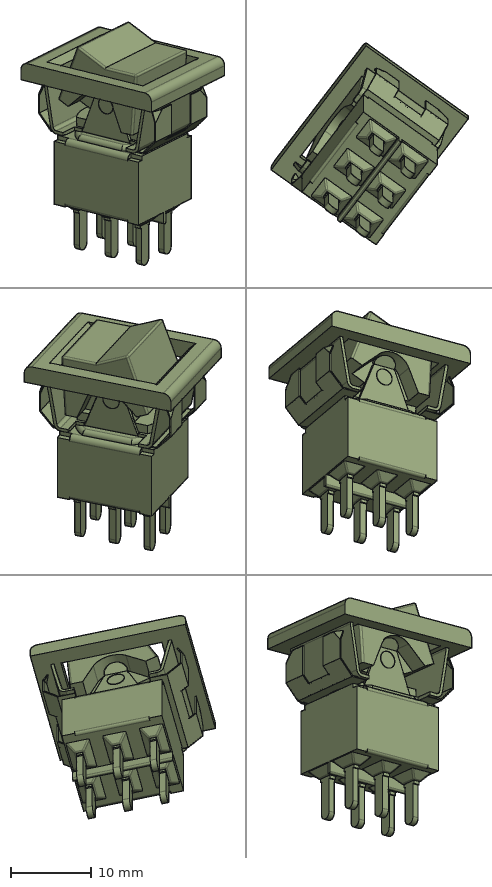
import cadquery as cq
import math


BEZEL_X = 19.85
BEZEL_Y = 15.8
BEZEL_BOTTOM = 23.03
BEZEL_THICK = 2.35
BEZEL_ROUND = 1.0
WINDOW_X = 14.6
WINDOW_BEVEL = 0.85
WINDOW_Y = 12.0

BRACKET_THICK = 0.42
BRACKET_Y = 12.2
BRACKET_BOTTOM = 16.15
BRACKET_BASE_HALF = 6.55
BRACKET_KINK_Z = 22.78
BRACKET_BEND = 0.9
FLOOR_CUT_HALF = 4.75
EAR_OUTER_Y = 3.63
EAR_THICK = 0.48
EAR_BASE_HALF = 3.65
EAR_TOP_HALF = 1.46
EAR_FOOT_ROUND = 0.1
EAR_TOP = 21.95
LIP_DIAMETER = 3.2
LIP_LENGTH = 1.46
LIP_LEAN = 38

PIVOT_Z = 20.47
PIVOT_DIAMETER = 2.2
PIVOT_PROUD = 0.05

CLIP_THICK = 0.17
CLIP_BOTTOM = 16.1
CLIP_Y = 11.1
CLIP_BASE_HALF = 7.0
CLIP_WING_HALF = 8.9
CLIP_KNEE_Z = 18.1
CLIP_TOP = 22.05
CLIP_NOTCH_Y = 4.17
CLIP_NOTCH_BOTTOM = 17.2
CLIP_FOLD = 1.45
CLIP_FOLD_ANGLE = 32

ROCKER_TILT = 12.1
ROCKER_VALLEY = 5.97
ROCKER_TOP_HALF = 4.6
ROCKER_FOOT_HALF = 5.77
ROCKER_FOOT_Z = -0.99
ROCKER_Y_TOP = 11.05
ROCKER_Y_FOOT = 11.35
ROCKER_ROUND = 0.25
RECESS_DIAMETER = 5.2
RECESS_HALF_ANGLE = 35
STEM_HALF = 2.25
STEM_DEPTH = 3.38

HOUSING_X = 12.78
HOUSING_Y = 11.43
HOUSING_BOTTOM = 6.6
HOUSING_TOP = 15.52
COVER_HALF = 4.75
COVER_TOP_ROUND = 0.73
COVER_FOOT_ROUND = 0.37
STEP_Y = 0.75
STEP_Z = 0.55
NECK_DIAMETER = 11.88
NECK_Y = 9.85
NECK_ROUND = 0.62
BLOCK_DIAMETER = 11.5
BLOCK_Y = 6.42
BLOCK_TOP = 17.75

TERMINAL_PITCH_X = 4.7
TERMINAL_Y = 2.42
TERMINAL_OUTER_THICK = 0.82
TERMINAL_MIDDLE_THICK = 0.9
TERMINAL_WIDTH = 1.6
SHOULDER_WIDTH = 1.97
SHOULDER_BOTTOM = 5.13
SEAL_LENGTH = 4.22
SEAL_WIDTH = 2.98
SEAL_HEIGHT = 1.05
SEAL_TAPER = 42
SEAL_ROUND = 0.25
DIVIDER_THICK = 0.48
DIVIDER_BOTTOM = 5.0
DIVIDER_ROUND = DIVIDER_THICK * 0.49

BEZEL_TOP = BEZEL_BOTTOM + BEZEL_THICK
EAR_INNER_Y = EAR_OUTER_Y - EAR_THICK


def block(size_x, size_y, z_low, z_high, x=0, y=0):
    """Upright box between two heights."""
    return cq.Workplane("XY").box(size_x, size_y, z_high - z_low).translate((x, y, (z_low + z_high) / 2))


def xz_prism(points, size_y):
    """Outline in X and Z, extruded evenly about Y = 0."""
    return cq.Workplane("XZ").polyline(points).close().extrude(size_y / 2, both=True)


def both_y(shape):
    """The shape together with its mirror image across Y = 0."""
    return shape.union(shape.mirror("XZ"))


def symmetric(right_side):
    """Closed outline from the points of its +X side, listed from the bottom up."""
    return right_side + [(-x, z) for x, z in reversed(right_side)]


def make_bezel():
    frame = block(BEZEL_X, BEZEL_Y, BEZEL_BOTTOM, BEZEL_TOP)
    frame = frame.faces(">Z").edges("|Y").fillet(BEZEL_ROUND)
    throat_half = WINDOW_X / 2 - WINDOW_BEVEL
    window = symmetric([
        (throat_half, BEZEL_BOTTOM),
        (throat_half, BEZEL_TOP - WINDOW_BEVEL),
        (WINDOW_X / 2, BEZEL_TOP),
    ])
    return frame.cut(xz_prism(window, WINDOW_Y))


def make_ear():
    """Ear on the -Y side, its bent-out lip and the pivot pin."""
    outline = symmetric([(EAR_BASE_HALF, BRACKET_BOTTOM), (EAR_TOP_HALF, EAR_TOP)])
    plate = xz_prism(outline, EAR_THICK).translate((0, -(EAR_OUTER_Y + EAR_INNER_Y) / 2, 0))
    plate = plate.faces("<Y").edges("<Z").fillet(EAR_FOOT_ROUND)
    lip_radius = LIP_DIAMETER / 2
    lip_side = LIP_LENGTH - lip_radius + math.sqrt(lip_radius**2 - EAR_TOP_HALF**2)
    lip = (
        cq.Workplane("XZ")
        .moveTo(-EAR_TOP_HALF, 0)
        .lineTo(-EAR_TOP_HALF, lip_side)
        .threePointArc((0, LIP_LENGTH), (EAR_TOP_HALF, lip_side))
        .lineTo(EAR_TOP_HALF, 0)
        .close()
        .extrude(-EAR_THICK)
        .rotate((0, 0, 0), (1, 0, 0), LIP_LEAN)
        .translate((0, -EAR_OUTER_Y, EAR_TOP))
    )
    pin = (
        cq.Workplane("XZ")
        .center(0, PIVOT_Z)
        .circle(PIVOT_DIAMETER / 2)
        .extrude(EAR_OUTER_Y + PIVOT_PROUD)
    )
    return plate.union(lip).union(pin)


def make_bracket():
    wall_half = WINDOW_X / 2 + BRACKET_THICK
    outer = xz_prism(
        symmetric([
            (BRACKET_BASE_HALF, BRACKET_BOTTOM),
            (wall_half, BRACKET_KINK_Z),
            (wall_half, BEZEL_BOTTOM),
        ]),
        BRACKET_Y,
    )
    lean = math.atan2(wall_half - BRACKET_BASE_HALF, BRACKET_KINK_Z - BRACKET_BOTTOM)
    inner_base_half = BRACKET_BASE_HALF - BRACKET_THICK * (1 - math.sin(lean)) / math.cos(lean)
    inner = xz_prism(
        symmetric([
            (inner_base_half, BRACKET_BOTTOM + BRACKET_THICK),
            (WINDOW_X / 2, BRACKET_KINK_Z),
            (WINDOW_X / 2, BEZEL_BOTTOM),
        ]),
        BRACKET_Y,
    )
    outer = outer.faces("<Z").edges("|Y").fillet(BRACKET_BEND)
    inner = inner.faces("<Z").edges("|Y").fillet(BRACKET_BEND - BRACKET_THICK)
    return outer.cut(inner).cut(floor_cuts()).union(both_y(make_ear()))


def floor_cuts():
    """Openings in the bracket and clip floors: wide outside the ears, narrower where each ear stands."""
    edge_y = BRACKET_Y / 2
    floor_top = BRACKET_BOTTOM + BRACKET_THICK
    cuts = []
    for half, start_y in ((FLOOR_CUT_HALF, EAR_OUTER_Y), (EAR_BASE_HALF, EAR_INNER_Y)):
        middle_y = -(start_y + edge_y) / 2
        cuts.append(block(2 * half, edge_y - start_y, CLIP_BOTTOM, floor_top, y=middle_y))
    return both_y(cuts[0].union(cuts[1]))


def folded_corner():
    """Triangular tip of the +X wing at -Y, and the same tip bent inward along its diagonal."""
    edge_y = -CLIP_Y / 2
    flat = (
        cq.Workplane("YZ")
        .workplane(offset=CLIP_WING_HALF - CLIP_THICK)
        .polyline([
            (edge_y, CLIP_TOP),
            (edge_y + CLIP_FOLD, CLIP_TOP),
            (edge_y, CLIP_TOP - CLIP_FOLD),
        ])
        .close()
        .extrude(CLIP_THICK)
    )
    bent = flat.rotate(
        (CLIP_WING_HALF, edge_y, CLIP_TOP - CLIP_FOLD),
        (CLIP_WING_HALF, edge_y + CLIP_FOLD, CLIP_TOP),
        -CLIP_FOLD_ANGLE,
    )
    return flat, bent


def make_clip():
    open_top = CLIP_TOP + 2 * CLIP_THICK
    outline = symmetric([
        (CLIP_BASE_HALF, CLIP_BOTTOM),
        (CLIP_WING_HALF, CLIP_KNEE_Z),
        (CLIP_WING_HALF, open_top),
    ])
    inside = (
        cq.Workplane("XZ")
        .polyline(outline)
        .close()
        .offset2D(-CLIP_THICK, "intersection")
        .extrude(CLIP_Y / 2, both=True)
    )
    clip = xz_prism(outline, CLIP_Y).cut(inside)
    clip = clip.cut(block(2 * CLIP_WING_HALF, CLIP_Y, CLIP_TOP, open_top))
    clip = clip.cut(block(2 * CLIP_WING_HALF, CLIP_NOTCH_Y, CLIP_NOTCH_BOTTOM, CLIP_TOP))
    clip = clip.cut(floor_cuts())
    flat, bent = folded_corner()
    for side in (flat, flat.mirror("YZ")):
        clip = clip.cut(both_y(side))
    for side in (bent, bent.mirror("YZ")):
        clip = clip.union(both_y(side))
    return clip


def rocker_recess():
    """Keyhole-shaped relief around the pivot: a round hub with two tangent sides opening downward."""
    radius = RECESS_DIAMETER / 2
    half_angle = math.radians(RECESS_HALF_ANGLE)
    tangent_x = radius * math.cos(half_angle)
    tangent_z = radius * math.sin(half_angle)
    drop = ROCKER_FOOT_HALF
    flare_x = tangent_x + (drop + tangent_z) * math.tan(half_angle)
    depth = ROCKER_Y_FOOT / 2 - EAR_INNER_Y
    outline = (
        cq.Workplane("XZ", origin=(0, -EAR_INNER_Y, 0))
        .moveTo(-tangent_x, tangent_z)
        .threePointArc((0, radius), (tangent_x, tangent_z))
        .lineTo(flare_x, -drop)
        .lineTo(-flare_x, -drop)
        .close()
    )
    return both_y(outline.extrude(depth))


def make_rocker():
    slope = math.tan(math.radians(ROCKER_TILT))
    ridge = ROCKER_VALLEY + ROCKER_TOP_HALF * slope
    keel = ROCKER_FOOT_Z - ROCKER_FOOT_HALF * slope
    body = xz_prism(
        [
            (0, keel),
            (ROCKER_FOOT_HALF, ROCKER_FOOT_Z),
            (ROCKER_TOP_HALF, ridge),
            (0, ROCKER_VALLEY),
            (-ROCKER_TOP_HALF, ridge),
            (-ROCKER_FOOT_HALF, ROCKER_FOOT_Z),
        ],
        ROCKER_Y_FOOT,
    )
    drafted_sides = (
        cq.Workplane("YZ")
        .polyline([
            (-ROCKER_Y_FOOT / 2, keel),
            (ROCKER_Y_FOOT / 2, keel),
            (ROCKER_Y_TOP / 2, ridge),
            (-ROCKER_Y_TOP / 2, ridge),
        ])
        .close()
        .extrude(ROCKER_FOOT_HALF, both=True)
    )
    body = body.intersect(drafted_sides)
    top_and_corners = cq.selectors.BoxSelector(
        (-ROCKER_FOOT_HALF, -ROCKER_Y_FOOT, 0),
        (ROCKER_FOOT_HALF, ROCKER_Y_FOOT, 2 * ridge),
    )
    valley = cq.selectors.BoxSelector((-0.28, -0.28, 0), (0.28, 0.28, 2 * ridge))
    body = body.edges(top_and_corners - valley).fillet(ROCKER_ROUND)
    stem = block(2 * STEM_HALF, 2 * EAR_INNER_Y, -STEM_DEPTH, 0)
    rocker = body.cut(rocker_recess()).union(stem)
    return rocker.rotate((0, 0, 0), (0, 1, 0), ROCKER_TILT).translate((0, 0, PIVOT_Z))


def flatted_disc(diameter, size_y, z_low, z_high):
    """Disc with flats on its -Y and +Y sides."""
    disc = cq.Workplane("XY", origin=(0, 0, z_low)).circle(diameter / 2).extrude(z_high - z_low)
    return disc.intersect(block(diameter, size_y, z_low, z_high))


def make_housing():
    housing = block(2 * COVER_HALF, HOUSING_Y, HOUSING_BOTTOM, HOUSING_TOP)
    housing = housing.faces(">Z").edges("|X").fillet(COVER_TOP_ROUND)
    housing = housing.faces("<Z").edges("|X").fillet(COVER_FOOT_ROUND)
    end_length = HOUSING_X / 2 - COVER_HALF
    end_x = COVER_HALF + end_length / 2
    step_y = (HOUSING_Y - STEP_Y) / 2
    for x in (-end_x, end_x):
        end = block(end_length, HOUSING_Y, HOUSING_BOTTOM, HOUSING_TOP, x=x)
        for y in (-step_y, step_y):
            end = end.cut(block(end_length, STEP_Y, HOUSING_TOP - STEP_Z, HOUSING_TOP, x=x, y=y))
        housing = housing.union(end)
    neck = flatted_disc(NECK_DIAMETER, NECK_Y, HOUSING_TOP, BRACKET_BOTTOM)
    neck = neck.faces(">Z").edges().fillet(NECK_ROUND)
    upper = flatted_disc(BLOCK_DIAMETER, BLOCK_Y, BRACKET_BOTTOM, BLOCK_TOP)
    divider = block(HOUSING_X, DIVIDER_THICK, DIVIDER_BOTTOM, HOUSING_TOP)
    divider = divider.faces("<Z").edges("|X").fillet(DIVIDER_ROUND)
    return housing.union(neck).union(upper).union(divider)


def make_terminal(thick):
    """One terminal at X = Y = 0: tapered seal, shoulder and round-ended blade."""
    seal = (
        cq.Workplane("XY", origin=(0, 0, HOUSING_BOTTOM))
        .rect(SEAL_WIDTH, SEAL_LENGTH)
        .extrude(-SEAL_HEIGHT, taper=SEAL_TAPER)
        .edges("not >Z")
        .fillet(SEAL_ROUND)
    )
    shoulder = block(thick, SHOULDER_WIDTH, SHOULDER_BOTTOM, HOUSING_BOTTOM)
    radius = TERMINAL_WIDTH / 2
    blade = block(thick, TERMINAL_WIDTH, radius, HOUSING_BOTTOM)
    tip = cq.Workplane("YZ").center(0, radius).circle(radius).extrude(thick / 2, both=True)
    return seal.union(shoulder).union(blade).union(tip)


def make_terminals():
    """Three columns of terminals in two rows."""
    terminals = cq.Workplane("XY")
    for column in (-1, 0, 1):
        thick = TERMINAL_OUTER_THICK if column else TERMINAL_MIDDLE_THICK
        for row in (-1, 1):
            place = (column * TERMINAL_PITCH_X, row * TERMINAL_Y, 0)
            terminals = terminals.add(make_terminal(thick).translate(place))
    return terminals


result = make_housing()
for part in make_terminals().vals():
    result = result.union(cq.Workplane(part))
for part in (make_clip(), make_bracket(), make_bezel(), make_rocker()):
    result = result.union(part)